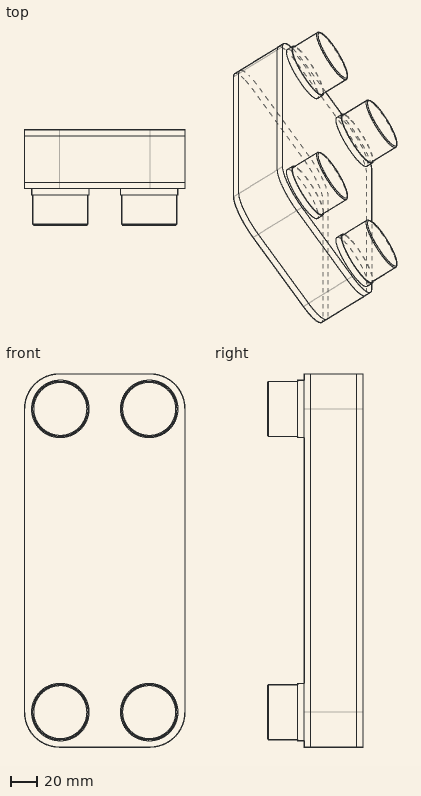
import cadquery as cq

pack_width = 123.0
pack_height = 286.0
corner_radius = 27.0
cover_thickness = 5.0
core_thickness = 35.5
pack_depth = core_thickness + 2 * cover_thickness

port_spacing_x = 68.0
port_spacing_z = pack_height - 2 * corner_radius
collar_diameter = 44.0
collar_length = 5.0
port_diameter = 42.3
port_length = 28.0
port_chamfer = 1.0


def make_layer(front_y, thickness):
    """Rounded rectangular layer whose front face lies at front_y."""
    return (
        cq.Workplane("XY")
        .box(pack_width, thickness, pack_height)
        .edges("|Y")
        .fillet(corner_radius)
        .translate((0, front_y + thickness / 2, 0))
    )


def make_port(x, z):
    """Closed round port with a collar, standing on the front cover at y = 0."""
    collar = cq.Workplane("XZ").circle(collar_diameter / 2).extrude(collar_length)
    stub = (
        cq.Workplane("XZ")
        .circle(port_diameter / 2)
        .extrude(port_length)
        .faces("<Y")
        .chamfer(port_chamfer)
    )
    return collar.union(stub).translate((x, 0, z))


front_cover = make_layer(0, cover_thickness)
core = make_layer(cover_thickness, core_thickness)
back_cover = make_layer(pack_depth - cover_thickness, cover_thickness)

ports = []
for side_x in (-1, 1):
    for side_z in (-1, 1):
        port = make_port(side_x * port_spacing_x / 2, side_z * port_spacing_z / 2)
        ports.append(port.val())

result = cq.Compound.makeCompound(
    [front_cover.val(), core.val(), back_cover.val(), *ports]
)